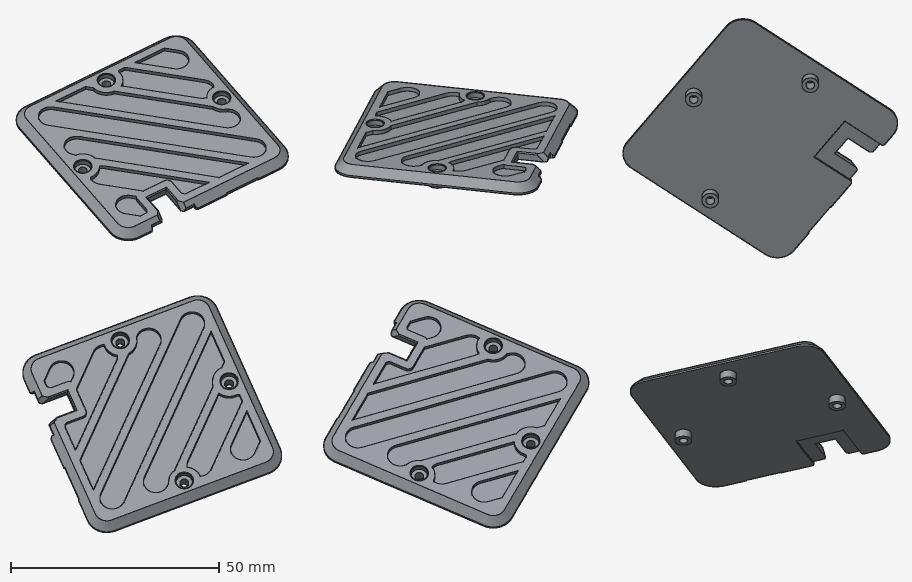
import cadquery as cq
import math

PLATE_SIZE = 50.0
PLATE_THICKNESS = 2.5
CORNER_RADIUS = 5.0
SLOPE = 2.0
TOP_HALF = PLATE_SIZE / 2 - SLOPE

BOSS_DIAMETER = 4.0
BOSS_HEIGHT = 2.0
BOSS_ORBIT = 20.0
BOSS_SIDE_SHIFT = 0.1
BOSS_ANGLES = (90, 180, 270)
SCREW_HOLE_DIAMETER = 2.1
HEAD_DIAMETER = 4.0
HEAD_DEPTH = 1.5
EDGE_BREAK_HEAD = 0.2
RIM_TAPER = 45.0

NOTCH_Y = -9.8
NOTCH_WIDTH = 5.3
NOTCH_FLOOR_X = 17.0
EDGE_BREAK_NOTCH = 0.3
MOUTH_CHAMFER = 1.1

NOTCH_RECESS_LENGTH = 12.4
NOTCH_RECESS_DEPTH = 0.9
UNDERCUT_HEIGHT = 0.5
RECESS_CORNER = 0.4
SIDE_RECESS_Y = 9.6
SIDE_RECESS_LENGTH = 9.0
SIDE_RECESS_DEPTH = 0.2

POCKET_DEPTH = 1.0
SLOT_WIDTH = 6.0
SLOT_ANGLE = 45.0
SLOT_PITCH = 8.0
SLOT_END_Y = 17.6
SLOT_INDEXES = range(-3, 4)
WALL = 2.0

BOSS_CLEARANCE_RADIUS = BOSS_DIAMETER / 2 + WALL
WINDOW_HALF = TOP_HALF - WALL
BOSS_CORNER_RADIUS = 0.5
WINDOW_CORNER_RADIUS = 1.0
WINDOW_NOTCH_RADIUS = 1.3
CLEARANCE_SHIFT = 0.5


def block(x_min, x_max, y_mid, y_length, z_min, z_max):
    """Box given by its X and Z limits and its middle and length along Y."""
    box = cq.Workplane("XY").box(x_max - x_min, y_length, z_max - z_min, centered=(False, True, False))
    return box.translate((x_min, y_mid, z_min))


def cylinders(points, diameter, z_min, height):
    """Upright cylinders of one size at the given XY points."""
    return cq.Workplane("XY", origin=(0, 0, z_min)).pushPoints(points).circle(diameter / 2).extrude(height)


def boss_centre(angle):
    """Boss position: on the orbit, shifted slightly sideways, turned to the given angle."""
    a = math.radians(angle)
    x = BOSS_ORBIT * math.cos(a) - BOSS_SIDE_SHIFT * math.sin(a)
    y = BOSS_ORBIT * math.sin(a) + BOSS_SIDE_SHIFT * math.cos(a)
    return x, y


BOSS_CENTRES = [boss_centre(angle) for angle in BOSS_ANGLES]


def sloped_plate():
    """Rounded square plate with its top edge sloped all round."""
    plate = cq.Workplane("XY").rect(PLATE_SIZE, PLATE_SIZE).extrude(PLATE_THICKNESS)
    return plate.edges("|Z").fillet(CORNER_RADIUS).faces(">Z").chamfer(SLOPE)


def notch():
    """Straight notch whose top edges are chamfered."""
    x_end = PLATE_SIZE / 2
    straight = block(NOTCH_FLOOR_X, x_end, NOTCH_Y, NOTCH_WIDTH, 0, PLATE_THICKNESS)
    half = NOTCH_WIDTH / 2
    z_flare = PLATE_THICKNESS - EDGE_BREAK_NOTCH
    profile = [
        (-half, z_flare),
        (half, z_flare),
        (half + EDGE_BREAK_NOTCH, PLATE_THICKNESS),
        (-half - EDGE_BREAK_NOTCH, PLATE_THICKNESS),
    ]
    start = NOTCH_FLOOR_X - EDGE_BREAK_NOTCH
    flare = cq.Workplane("YZ", origin=(start, NOTCH_Y, 0)).polyline(profile).close().extrude(x_end - start)
    floor_profile = [
        (start, PLATE_THICKNESS),
        (NOTCH_FLOOR_X, z_flare),
        (x_end, z_flare),
        (x_end, PLATE_THICKNESS),
    ]
    floor_sketch = cq.Workplane("XZ", origin=(0, NOTCH_Y, 0)).polyline(floor_profile).close()
    floor_limit = floor_sketch.extrude(NOTCH_WIDTH, both=True)
    return straight.union(flare.intersect(floor_limit))


def mouth_chamfer(side):
    """Block that bevels the edge between the slope and one notch wall; side is +1 or -1 along Y."""
    size = 4 * (SLOPE + MOUTH_CHAMFER)
    wall_y = NOTCH_Y + side * NOTCH_WIDTH / 2
    on_slope = (TOP_HALF, wall_y + side * MOUTH_CHAMFER, PLATE_THICKNESS)
    outward = (math.sqrt(0.5), -side, math.sqrt(0.5))
    bevel = cq.Plane(origin=on_slope, xDir=(1, 0, -1), normal=outward)
    return cq.Workplane(bevel).rect(size, size).extrude(MOUTH_CHAMFER)


def notch_recess():
    """Rim recess around the notch mouth, its two outer corners chamfered."""
    half = NOTCH_RECESS_LENGTH / 2
    x_edge = PLATE_SIZE / 2
    outline = [
        (x_edge - NOTCH_RECESS_DEPTH, -half),
        (x_edge - RECESS_CORNER, -half),
        (x_edge, -half - RECESS_CORNER),
        (x_edge, half + RECESS_CORNER),
        (x_edge - RECESS_CORNER, half),
        (x_edge - NOTCH_RECESS_DEPTH, half),
    ]
    return cq.Workplane("XY", origin=(0, NOTCH_Y, 0)).polyline(outline).close().extrude(PLATE_THICKNESS)


def notch_undercut():
    """Relief that lifts the underside around the notch, equally wide on its three inner sides."""
    x_start = NOTCH_FLOOR_X - (NOTCH_RECESS_LENGTH - NOTCH_WIDTH) / 2
    return block(x_start, PLATE_SIZE / 2, NOTCH_Y, NOTCH_RECESS_LENGTH, 0, UNDERCUT_HEIGHT)


def side_recess():
    """Shallow flat cut into the +X rim, beside the notch."""
    x_edge = PLATE_SIZE / 2
    return block(x_edge - SIDE_RECESS_DEPTH, x_edge, SIDE_RECESS_Y, SIDE_RECESS_LENGTH, 0, PLATE_THICKNESS)


def pocket_window(z_floor):
    """Area the pockets may use: inside the walls of the rim, the notch and the bosses."""
    window = block(-WINDOW_HALF, WINDOW_HALF, 0, 2 * WINDOW_HALF, z_floor, PLATE_THICKNESS)
    clearance = EDGE_BREAK_NOTCH + WALL
    notch_x = NOTCH_FLOOR_X - clearance
    keep_out = block(notch_x, PLATE_SIZE / 2, NOTCH_Y, NOTCH_WIDTH + 2 * clearance, z_floor, PLATE_THICKNESS)
    keep_out = keep_out.edges("|Z and <X").fillet(WINDOW_NOTCH_RADIUS)
    window = window.cut(keep_out).edges("|Z and >X").fillet(WINDOW_CORNER_RADIUS)
    (back_x, back_y), *others = BOSS_CENTRES
    centres = [(back_x, back_y + CLEARANCE_SHIFT), *others]
    window = window.cut(cylinders(centres, 2 * BOSS_CLEARANCE_RADIUS, z_floor, POCKET_DEPTH))
    return window.edges("|Z and <X").fillet(BOSS_CORNER_RADIUS)


def pockets():
    """Parallel diagonal slots, trimmed to the window."""
    z_floor = PLATE_THICKNESS - POCKET_DEPTH
    slant = math.sin(math.radians(SLOT_ANGLE))
    step_x = SLOT_PITCH / slant
    length = 2 * SLOT_END_Y / slant + SLOT_WIDTH
    centres = [(index * step_x, 0) for index in SLOT_INDEXES]
    slots = (
        cq.Workplane("XY", origin=(0, 0, z_floor))
        .pushPoints(centres)
        .slot2D(length, SLOT_WIDTH, SLOT_ANGLE)
        .extrude(POCKET_DEPTH)
    )
    return slots.intersect(pocket_window(z_floor))


def countersunk_rim(centre):
    """Cone that chamfers the mouth of one counterbore."""
    rim = cq.Workplane("XY", origin=(*centre, PLATE_THICKNESS)).circle(HEAD_DIAMETER / 2 + EDGE_BREAK_HEAD)
    return rim.extrude(-EDGE_BREAK_HEAD, taper=RIM_TAPER)


def screw_holes():
    """Through holes with counterbores, each counterbore chamfered at the top face."""
    holes = cylinders(BOSS_CENTRES, SCREW_HOLE_DIAMETER, -BOSS_HEIGHT, BOSS_HEIGHT + PLATE_THICKNESS)
    holes = holes.union(cylinders(BOSS_CENTRES, HEAD_DIAMETER, PLATE_THICKNESS - HEAD_DEPTH, HEAD_DEPTH))
    for centre in BOSS_CENTRES:
        holes = holes.union(countersunk_rim(centre))
    return holes


result = sloped_plate()
result = result.cut(pockets())
result = result.cut(notch())
for side in (1, -1):
    result = result.cut(mouth_chamfer(side))
result = result.cut(notch_recess())
result = result.cut(notch_undercut())
result = result.cut(side_recess())
result = result.union(cylinders(BOSS_CENTRES, BOSS_DIAMETER, -BOSS_HEIGHT, BOSS_HEIGHT))
result = result.cut(screw_holes())